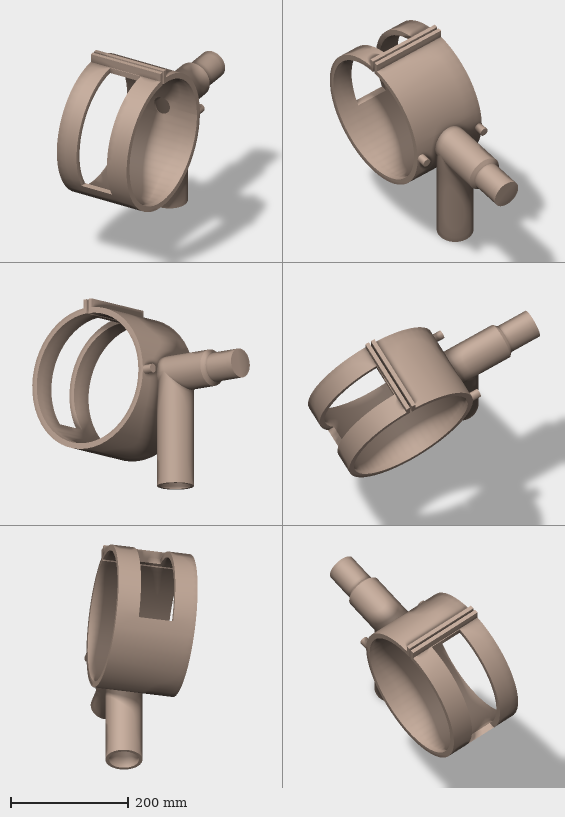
import cadquery as cq
import math

clamp_width = 138.0
clamp_bore_radius = 112.5
clamp_wall = 10.0
clamp_outer_radius = clamp_bore_radius + clamp_wall

split_width = 4.0
flange_thickness = 7.0
flange_height = 15.0
flange_outer_y = split_width / 2 + flange_thickness
flange_base_z = math.sqrt(clamp_outer_radius**2 - flange_outer_y**2)
flange_top_z = flange_base_z + flange_height

window_width = 60.0
window_bottom_z = -62.0
window_back_y = -10.0

pin_diameter = 15.0
pin_projection = 16.0
pin_end_y = clamp_outer_radius + pin_projection
pin_offset_x = (clamp_width - pin_diameter) / 2

pipe_radius = 63.0 / 2
pipe_wall = 5.8
pipe_bore_radius = pipe_radius - pipe_wall
drop_pipe_y = 137.5
drop_pipe_bottom_z = -195.0
tower_bore_radius = 31.0 / 2
neck_radius = 50.0 / 2
tower_cone_length = pipe_radius - neck_radius
tower_cone_end_y = 225.0
tower_cone_start_y = tower_cone_end_y - tower_cone_length

cap_end_y = 281.0
cap_thickness = 10.0
cap_start_y = cap_end_y - cap_thickness


def cylinder_along_x(radius, length):
    """Cylinder on the X axis, from -length / 2 to length / 2."""
    base = cq.Workplane("YZ", origin=(-length / 2, 0, 0))
    return base.circle(radius).extrude(length)


def cylinder_along_y(radius, start_y, end_y, x=0.0):
    """Cylinder parallel to Y at height zero."""
    base = cq.Workplane("XZ", origin=(x, start_y, 0))
    return base.circle(radius).extrude(start_y - end_y)


def drop_cylinder(radius):
    """Vertical cylinder from the drop pipe's open end up to the tower axis."""
    base = cq.Workplane("XY", origin=(0, drop_pipe_y, drop_pipe_bottom_z))
    return base.circle(radius).extrude(-drop_pipe_bottom_z)


def make_flanges():
    """Block on top of the ring that the split divides into two flanges."""
    return cq.Workplane("XY").box(
        clamp_width, 2 * flange_outer_y, flange_top_z, centered=(True, True, False)
    )


def make_split():
    """Cutter for the gap between the two flanges."""
    return cq.Workplane("XY").box(
        clamp_width, split_width, flange_top_z, centered=(True, True, False)
    )


def make_window():
    """Cutter for the rectangular window in the front half of the ring."""
    depth = clamp_outer_radius + window_back_y
    height = clamp_outer_radius - window_bottom_z
    base = cq.Workplane("XY", origin=(0, window_back_y - depth / 2, window_bottom_z))
    return base.box(window_width, depth, height, centered=(True, True, False))


def make_tower():
    """Stepped tower: full-size pipe, cone and narrower neck, turned about Y."""
    return (
        cq.Workplane("XY")
        .moveTo(0, 0)
        .lineTo(pipe_radius, 0)
        .lineTo(pipe_radius, tower_cone_start_y)
        .lineTo(neck_radius, tower_cone_end_y)
        .lineTo(neck_radius, cap_start_y)
        .lineTo(0, cap_start_y)
        .close()
        .revolve(360, (0, 0, 0), (0, 1, 0))
    )


def make_saddle():
    """Clamp ring with its flanges and pins, and the hollow branch tee behind it."""
    saddle = cylinder_along_x(clamp_outer_radius, clamp_width)
    saddle = saddle.union(make_flanges())
    saddle = saddle.union(make_tower())
    saddle = saddle.union(drop_cylinder(pipe_radius))
    for x in (-pin_offset_x, pin_offset_x):
        saddle = saddle.union(cylinder_along_y(pin_diameter / 2, 0, pin_end_y, x))
    saddle = saddle.cut(cylinder_along_x(clamp_bore_radius, clamp_width))
    saddle = saddle.cut(make_split())
    saddle = saddle.cut(make_window())
    saddle = saddle.cut(drop_cylinder(pipe_bore_radius))
    return saddle.cut(cylinder_along_y(tower_bore_radius, 0, cap_start_y))


def make_cap():
    """Disc that closes the end of the tower."""
    return cylinder_along_y(neck_radius, cap_start_y, cap_end_y)


saddle = make_saddle()
cap = make_cap()

result = cq.Compound.makeCompound([saddle.val(), cap.val()])